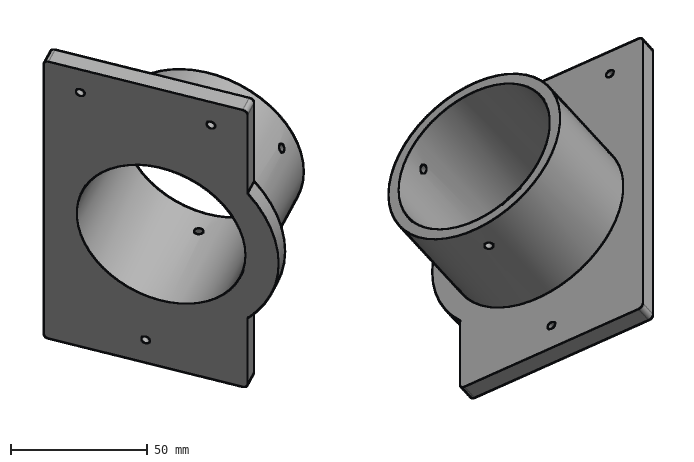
import cadquery as cq

plate_width = 79.8
plate_height = 138.0
plate_thickness = 7.0
corner_radius = 2.0

flange_radius = 46.0
tube_diameter = 75.0
bore_diameter = 66.0
total_depth = 50.0
axis_drop = 3.0

hole_diameter = 3.3
hole_spacing = 51.0
hole_edge_distance = 11.5

radial_hole_diameter = 3.3
radial_hole_setback = 10.0
radial_hole_angles = (30, 150, 270)

plate_center_x = plate_width / 2 - flange_radius
plate_center_z = axis_drop


def cylinder_along_y(diameter, length, x=0, z=0):
    """Cylinder from Y = 0 toward +Y."""
    base = cq.Workplane("XZ").center(x, z)
    return base.circle(diameter / 2).extrude(-length)


def make_plate():
    plate = (
        cq.Workplane("XZ")
        .center(plate_center_x, plate_center_z)
        .rect(plate_width, plate_height)
        .extrude(-plate_thickness)
        .edges("|Y")
        .fillet(corner_radius)
    )
    return plate.union(cylinder_along_y(2 * flange_radius, plate_thickness))


def screw_holes():
    hole_offset_z = plate_height / 2 - hole_edge_distance
    positions = [
        (-hole_spacing / 2, hole_offset_z),
        (hole_spacing / 2, hole_offset_z),
        (0, -hole_offset_z),
    ]
    return (
        cq.Workplane("XZ")
        .center(plate_center_x, plate_center_z)
        .pushPoints(positions)
        .circle(hole_diameter / 2)
        .extrude(-plate_thickness)
    )


def radial_hole(angle):
    """Drill from the tube axis outward, angle measured from +X toward +Z."""
    drill = (
        cq.Workplane("YZ")
        .center(total_depth - radial_hole_setback, 0)
        .circle(radial_hole_diameter / 2)
        .extrude(tube_diameter)
    )
    return drill.rotate((0, 0, 0), (0, 1, 0), -angle)


result = make_plate().union(cylinder_along_y(tube_diameter, total_depth))
result = result.cut(cylinder_along_y(bore_diameter, total_depth))
result = result.cut(screw_holes())
for hole_angle in radial_hole_angles:
    result = result.cut(radial_hole(hole_angle))